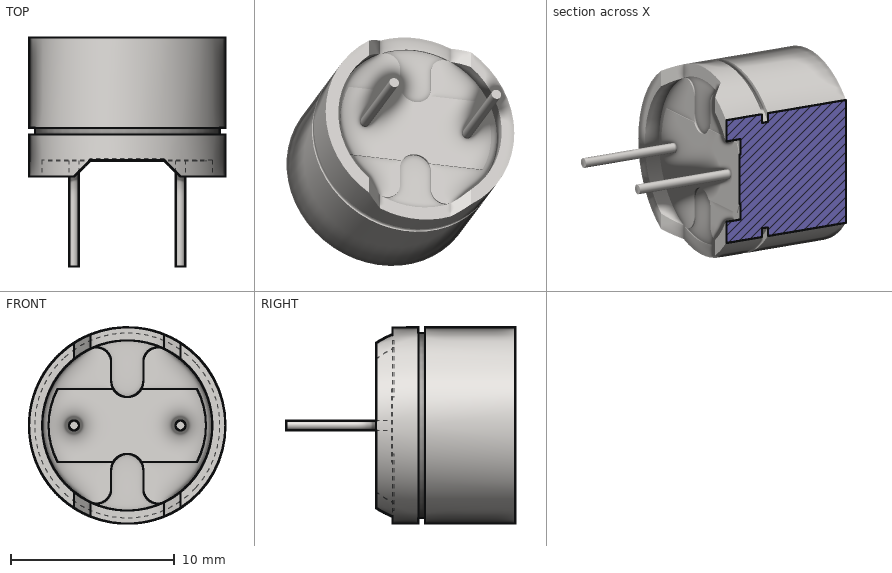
import cadquery as cq
import math

total_length = 14.0
body_diameter = 12.0
body_length = 8.5

groove_start = 2.58
groove_width = 0.39
groove_depth = 0.35

recess_radius = 5.2
recess_depth = 1.0
notch_floor_width = 4.48
notch_mouth_width = 6.5

band_radius = 4.8
band_width = 4.48
band_height = 0.05

channel_width = 1.96
channel_inner_reach = 1.74
channel_depth = 0.1
channel_corner_radius = 0.9

pin_diameter = 0.6
pin_spacing = 6.5
pin_protrusion = total_length - body_length


def cylinder_along_y(radius, start, length):
    """Solid cylinder on the Y axis, from y = start toward +Y."""
    return cq.Workplane("XZ", origin=(0, start, 0)).circle(radius).extrude(-length)


def make_groove():
    outer_radius = body_diameter / 2
    ring = cylinder_along_y(outer_radius, groove_start, groove_width)
    core = cylinder_along_y(outer_radius - groove_depth, groove_start, groove_width)
    return ring.cut(core)


def make_notches():
    """Trapezoid prism that opens the rim at both its +Z and -Z sides."""
    floor_half = notch_floor_width / 2
    mouth_half = notch_mouth_width / 2
    return (
        cq.Workplane("XY")
        .moveTo(-mouth_half, 0)
        .lineTo(-floor_half, recess_depth)
        .lineTo(floor_half, recess_depth)
        .lineTo(mouth_half, 0)
        .close()
        .extrude(body_diameter / 2, both=True)
    )


def make_band():
    start = recess_depth - band_height
    disc = cylinder_along_y(band_radius, start, band_height)
    strip = cq.Workplane("XY").box(body_diameter, total_length, band_width)
    return disc.intersect(strip)


def make_channel():
    """Round-ended channel on the +Z side, its mouth flaring tangentially into the recess wall."""
    half_width = channel_width / 2
    end_center_z = channel_inner_reach + half_width

    corner_x = half_width + channel_corner_radius
    corner_distance = recess_radius - channel_corner_radius
    corner_z = math.sqrt(corner_distance**2 - corner_x**2)

    wall_x = corner_x * recess_radius / corner_distance
    wall_z = corner_z * recess_radius / corner_distance

    middle_angle = (math.pi + math.atan2(corner_z, corner_x)) / 2
    middle_x = corner_x + channel_corner_radius * math.cos(middle_angle)
    middle_z = corner_z + channel_corner_radius * math.sin(middle_angle)

    top = recess_depth - band_height
    return (
        cq.Workplane("XZ", origin=(0, top, 0))
        .moveTo(-half_width, end_center_z)
        .threePointArc((0, channel_inner_reach), (half_width, end_center_z))
        .lineTo(half_width, corner_z)
        .threePointArc((middle_x, middle_z), (wall_x, wall_z))
        .threePointArc((0, recess_radius), (-wall_x, wall_z))
        .threePointArc((-middle_x, middle_z), (-half_width, corner_z))
        .close()
        .extrude(-(band_height + channel_depth))
    )


def make_pins():
    """Pins rooted at the recess floor."""
    return (
        cq.Workplane("XZ", origin=(0, recess_depth, 0))
        .pushPoints([(-pin_spacing / 2, 0), (pin_spacing / 2, 0)])
        .circle(pin_diameter / 2)
        .extrude(recess_depth + pin_protrusion)
    )


body = cylinder_along_y(body_diameter / 2, 0, body_length)
body = body.cut(make_groove())
body = body.cut(cylinder_along_y(recess_radius, 0, recess_depth))
body = body.cut(make_notches())
body = body.union(make_band())

channel = make_channel()
for side_angle in (0, 180):
    body = body.cut(channel.rotate((0, 0, 0), (0, 1, 0), side_angle), clean=False)

result = body.union(make_pins(), clean=False)